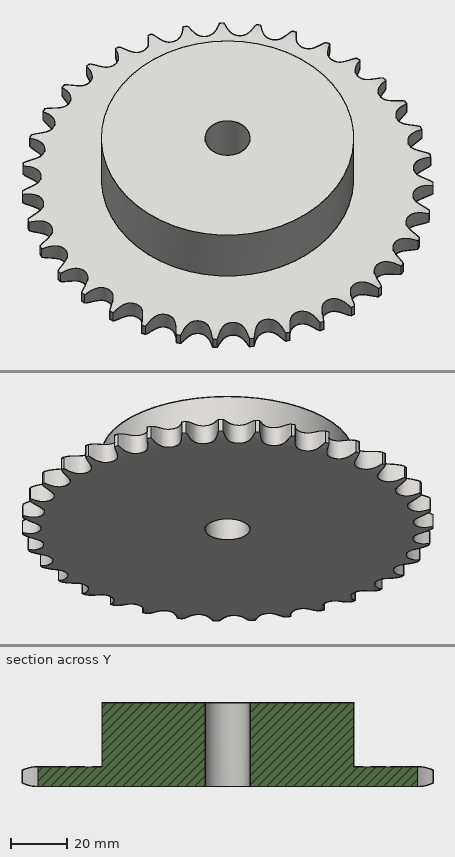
import cadquery as cq
import math

tooth_count = 35
chain_pitch = 12.7
roller_diameter = 8.51
form_clearance = 0.038
tip_diameter = 146.7
rim_thickness = 7.2
total_height = 30.0
hub_diameter = 90.0
bore_diameter = 16.0

side_radius = 13.0
side_relief = 1.3

pitch_angle = 360.0 / tooth_count
pitch_radius = chain_pitch / (2 * math.sin(math.pi / tooth_count))
tip_radius = tip_diameter / 2
rounding_length = math.sqrt(side_radius**2 - (side_radius - side_relief) ** 2)
first_gap_direction = -90 + pitch_angle / 2
gap_opening_direction = 90
cut_overrun = 0.5

seat_factor = 0.5025
flank_factor = 1.3025
flank_offset_factor = 0.8
topping_offset_factor = 1.4
seat_angle = 55 - 60 / tooth_count
flank_sweep = 18 - 56 / tooth_count
topping_offset_angle = 17 - 64 / tooth_count
flank_angle = seat_angle + flank_sweep
sweep_turn = math.radians(flank_sweep)
topping_turn = math.radians(topping_offset_angle)
seat_radius = seat_factor * roller_diameter + form_clearance
flank_radius = flank_factor * roller_diameter + form_clearance
straight_factor = topping_offset_factor * math.sin(topping_turn) - flank_offset_factor * math.sin(sweep_turn)
center_factor = flank_offset_factor * math.cos(sweep_turn) + topping_offset_factor * math.cos(topping_turn)
straight_length = straight_factor * roller_diameter
topping_radius = (center_factor - flank_factor) * roller_diameter - form_clearance


def on_circle(center, radius, angle):
    """Point on a circle, with the angle in degrees measured from -Y."""
    turn = math.radians(angle)
    return (center[0] + radius * math.sin(turn), center[1] - radius * math.cos(turn))


def tooth_gap():
    """Cutter for one tooth gap: roller seat, concave flanks, straight flanks and rounded-over tips."""
    roller_center = (0, pitch_radius)
    seat_bottom = on_circle(roller_center, seat_radius, 0)
    seat_middle = on_circle(roller_center, seat_radius, seat_angle / 2)
    seat_end = on_circle(roller_center, seat_radius, seat_angle)

    flank_center = on_circle(roller_center, seat_radius - flank_radius, seat_angle)
    flank_middle = on_circle(flank_center, flank_radius, (seat_angle + flank_angle) / 2)
    flank_end = on_circle(flank_center, flank_radius, flank_angle)

    straight_end = on_circle(flank_end, straight_length, flank_angle + 90)

    topping_center = on_circle(straight_end, topping_radius, flank_angle)
    outer_y = tip_radius + cut_overrun
    topping_angle = math.degrees(math.acos((outer_y - topping_center[1]) / topping_radius))
    topping_middle = on_circle(topping_center, -topping_radius, (flank_angle + topping_angle) / 2)
    topping_end = on_circle(topping_center, -topping_radius, topping_angle)

    return (
        cq.Workplane("XY")
        .moveTo(*seat_bottom)
        .threePointArc(seat_middle, seat_end)
        .threePointArc(flank_middle, flank_end)
        .lineTo(*straight_end)
        .threePointArc(topping_middle, topping_end)
        .lineTo(0, outer_y)
        .mirrorY()
        .extrude(rim_thickness)
    )


def rim_blank():
    """Disc whose edge is rounded from both faces down to a narrower tip band."""
    round_start = tip_radius - rounding_length
    middle_angle = math.asin(rounding_length / side_radius) / 2
    middle_radius = round_start + side_radius * math.sin(middle_angle)
    middle_setback = side_radius * (1 - math.cos(middle_angle))
    return (
        cq.Workplane("XZ")
        .lineTo(round_start, 0)
        .threePointArc((middle_radius, middle_setback), (tip_radius, side_relief))
        .lineTo(tip_radius, rim_thickness - side_relief)
        .threePointArc((middle_radius, rim_thickness - middle_setback), (round_start, rim_thickness))
        .lineTo(0, rim_thickness)
        .close()
        .revolve(360, (0, 0, 0), (0, 1, 0))
    )


def toothed_rim():
    gap = tooth_gap().val()
    gaps = []
    for index in range(tooth_count):
        direction = first_gap_direction + index * pitch_angle
        gaps.append(gap.rotate((0, 0, 0), (0, 0, 1), direction - gap_opening_direction))
    return cq.Workplane(rim_blank().val().cut(*gaps))


hub = cq.Workplane("XY").circle(hub_diameter / 2).extrude(total_height)
bore = cq.Workplane("XY").circle(bore_diameter / 2).extrude(total_height)

result = toothed_rim().union(hub).cut(bore)